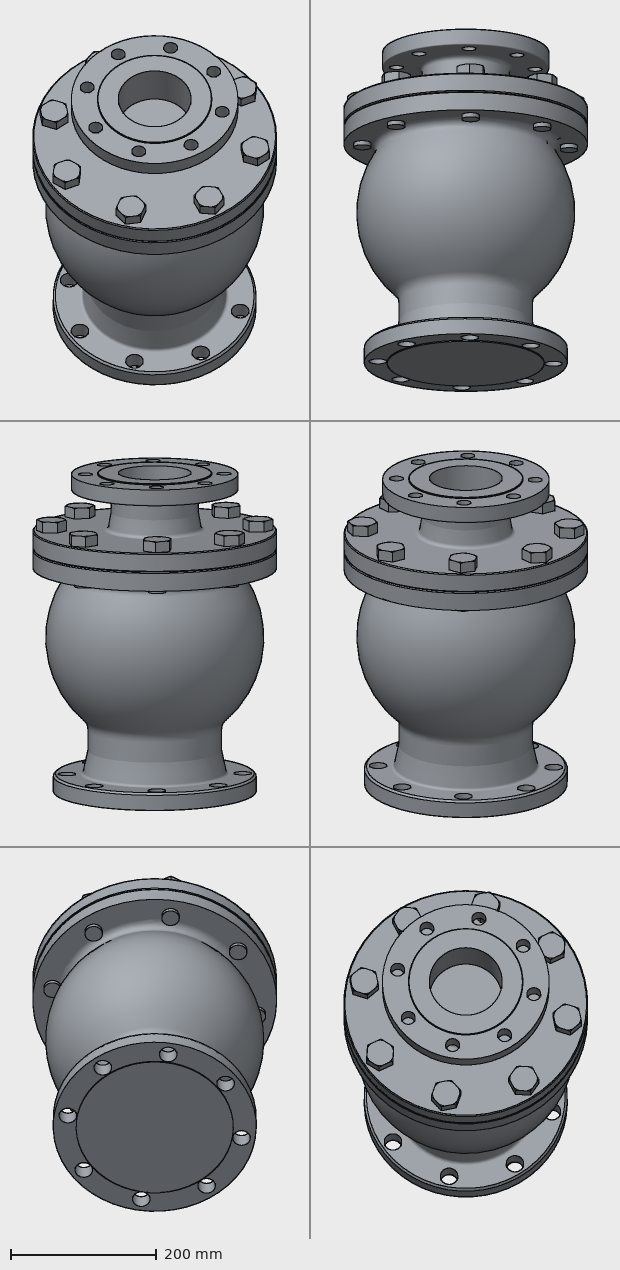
import cadquery as cq
import math

SPHERE_RADIUS = 150.0
WAIST_RADIUS = 184.0 / 2
WAIST_FILLET = 20.0
SHOULDER_FILLET = 10.0

LOWER_FLANGE_TOP = 26.0
WAIST_BOTTOM = 59.0
WAIST_TOP = 88.5
BODY_FLANGE_BOTTOM = 314.0
LID_SPLIT = 340.5
LID_TOP = 367.0
NECK_TAPER_TOP = 392.0
UPPER_FLANGE_BOTTOM = 423.0
OVERALL_HEIGHT = 447.0

LOWER_FLANGE_RADIUS = 279.0 / 2
LOWER_FACE_RADIUS = 215.9 / 2
FACE_STEP = 1.6
LOWER_FLANGE_CHAMFER = 3.0
LOWER_TAPER_RADIUS = 99.0
LOWER_TAPER_FILLET = 4.5
LOWER_HOLE_DIAMETER = 24.0
LOWER_HOLE_CIRCLE = 241.3

JOINT_RADIUS = 335.0 / 2
JOINT_CHAMFER = 1.5
BOLT_COUNT = 8
BOLT_CIRCLE = 284.0
BOLT_DIAMETER = 24.0
BOLT_END = 308.0
HEAD_ACROSS_FLATS = 36.0
HEAD_HEIGHT = 15.0
HEAD_CHAMFER = 2.0
HEAD_TURN = -7.5

NECK_RADIUS = 120.0 / 2
NECK_FOOT_RADIUS = 64.5
NECK_FILLET = 6.0
UPPER_FLANGE_RADIUS = 229.0 / 2
UPPER_FLANGE_FILLET = 1.5
UPPER_FACE_RADIUS = 157.2 / 2
UPPER_FACE_CHAMFER = 0.8
UPPER_HOLE_DIAMETER = 19.0
UPPER_HOLE_CIRCLE = 190.5
BORE_DIAMETER = 100.0
BORE_DEPTH = 60.0

HOLES_PER_FLANGE = 8
OVERLAP = 2.0


def revolve(profile):
    """Turn a closed (radius, height) profile around the Z axis."""
    return profile.close().revolve(360, (0, 0, 0), (0, 1, 0))


def disc(radius, bottom, top):
    return cq.Workplane("XY").workplane(offset=bottom).circle(radius).extrude(top - bottom)


def ring_points(circle_diameter, count):
    """Equally spaced points straddling the X and Y axes, as (x, y, angle in degrees)."""
    pitch = 360.0 / count
    points = []
    for i in range(count):
        angle = pitch * (i + 0.5)
        x = circle_diameter / 2 * math.cos(math.radians(angle))
        y = circle_diameter / 2 * math.sin(math.radians(angle))
        points.append((x, y, angle))
    return points


def flange_holes(circle_diameter, hole_diameter, bottom, top):
    points = [(x, y) for x, y, _ in ring_points(circle_diameter, HOLES_PER_FLANGE)]
    plane = cq.Workplane("XY").workplane(offset=bottom)
    return plane.pushPoints(points).circle(hole_diameter / 2).extrude(top - bottom)


def lower_flange():
    flange = disc(LOWER_FLANGE_RADIUS, FACE_STEP, LOWER_FLANGE_TOP)
    flange = flange.faces(">Z").edges().chamfer(LOWER_FLANGE_CHAMFER)
    flange = flange.union(disc(LOWER_FACE_RADIUS, 0, FACE_STEP + OVERLAP))
    holes = flange_holes(LOWER_HOLE_CIRCLE, LOWER_HOLE_DIAMETER, 0, LOWER_FLANGE_TOP)
    return flange.cut(holes)


def body():
    """Taper, waist, sphere and their blends, from the lower flange to the body flange."""
    waist_blend_r = WAIST_RADIUS + WAIST_FILLET
    waist_blend_reach = SPHERE_RADIUS + WAIST_FILLET
    sphere_z = WAIST_TOP + math.sqrt(waist_blend_reach**2 - waist_blend_r**2)
    shoulder_reach = SPHERE_RADIUS + SHOULDER_FILLET
    shoulder_z = BODY_FLANGE_BOTTOM - SHOULDER_FILLET
    shoulder_r = math.sqrt(shoulder_reach**2 - (shoulder_z - sphere_z) ** 2)

    def on_sphere(r, z):
        """The sphere point on the ray from the sphere centre towards (r, z)."""
        scale = SPHERE_RADIUS / math.hypot(r, z - sphere_z)
        return r * scale, sphere_z + (z - sphere_z) * scale

    def blend_middle(r, z, radius, end):
        """Point of the blend arc around (r, z) halfway between its sphere contact and `end`."""
        contact = on_sphere(r, z)
        dr = (contact[0] + end[0]) / 2 - r
        dz = (contact[1] + end[1]) / 2 - z
        scale = radius / math.hypot(dr, dz)
        return r + dr * scale, z + dz * scale

    waist_end = (WAIST_RADIUS, WAIST_TOP)
    shoulder_end = (shoulder_r, BODY_FLANGE_BOTTOM)
    profile = (
        cq.Workplane("XZ")
        .moveTo(0, LOWER_FLANGE_TOP - OVERLAP)
        .lineTo(LOWER_TAPER_RADIUS, LOWER_FLANGE_TOP - OVERLAP)
        .lineTo(LOWER_TAPER_RADIUS, LOWER_FLANGE_TOP)
        .lineTo(WAIST_RADIUS, WAIST_BOTTOM)
        .lineTo(*waist_end)
        .threePointArc(
            blend_middle(waist_blend_r, WAIST_TOP, WAIST_FILLET, waist_end),
            on_sphere(waist_blend_r, WAIST_TOP),
        )
        .threePointArc((SPHERE_RADIUS, sphere_z), on_sphere(shoulder_r, shoulder_z))
        .threePointArc(
            blend_middle(shoulder_r, shoulder_z, SHOULDER_FILLET, shoulder_end),
            shoulder_end,
        )
        .lineTo(shoulder_r, BODY_FLANGE_BOTTOM + OVERLAP)
        .lineTo(0, BODY_FLANGE_BOTTOM + OVERLAP)
    )
    return revolve(profile)


def joint_flanges():
    """Body flange and lid plate, with a V groove where their chamfered rims meet."""
    body_flange = disc(JOINT_RADIUS, BODY_FLANGE_BOTTOM, LID_SPLIT)
    body_flange = body_flange.faces(">Z").edges().chamfer(JOINT_CHAMFER)
    lid = disc(JOINT_RADIUS, LID_SPLIT, LID_TOP).edges().chamfer(JOINT_CHAMFER)
    return body_flange.union(lid)


def neck():
    profile = (
        cq.Workplane("XZ")
        .moveTo(0, LID_TOP - OVERLAP)
        .lineTo(NECK_FOOT_RADIUS, LID_TOP - OVERLAP)
        .lineTo(NECK_FOOT_RADIUS, LID_TOP)
        .lineTo(NECK_RADIUS, NECK_TAPER_TOP)
        .lineTo(NECK_RADIUS, UPPER_FLANGE_BOTTOM + OVERLAP)
        .lineTo(0, UPPER_FLANGE_BOTTOM + OVERLAP)
    )
    return revolve(profile)


def upper_flange():
    flange_top = OVERALL_HEIGHT - FACE_STEP
    flange = disc(UPPER_FLANGE_RADIUS, UPPER_FLANGE_BOTTOM, flange_top)
    flange = flange.faces("<Z").edges().fillet(UPPER_FLANGE_FILLET)
    face = disc(UPPER_FACE_RADIUS, flange_top - OVERLAP, OVERALL_HEIGHT)
    face = face.faces(">Z").edges().chamfer(UPPER_FACE_CHAMFER)
    holes = flange_holes(UPPER_HOLE_CIRCLE, UPPER_HOLE_DIAMETER, UPPER_FLANGE_BOTTOM, flange_top)
    return flange.union(face).cut(holes)


def bolt():
    """Hex bolt on the Z axis, with two head corners on the X axis."""
    corner_diameter = HEAD_ACROSS_FLATS / math.cos(math.pi / 6)
    head_top = LID_TOP + HEAD_HEIGHT
    head_bottom = LID_TOP - OVERLAP
    head = (
        cq.Workplane("XY")
        .workplane(offset=head_bottom)
        .polygon(6, corner_diameter)
        .extrude(head_top - head_bottom)
    )
    trim = disc(corner_diameter / 2, head_bottom, head_top)
    trim = trim.faces(">Z").edges().chamfer(HEAD_CHAMFER / 2, HEAD_CHAMFER)
    shank = disc(BOLT_DIAMETER / 2, BOLT_END, LID_TOP)
    return head.intersect(trim).union(shank)


def ring_edge(solid, radius, height):
    """Select the full circular edge of the given radius and height."""
    tolerance = 0.05
    box = cq.selectors.BoxSelector(
        (-radius - tolerance, -radius - tolerance, height - tolerance),
        (radius + tolerance, radius + tolerance, height + tolerance),
        boundingbox=True,
    )
    return solid.edges(box)


result = lower_flange().union(body()).union(joint_flanges()).union(neck()).union(upper_flange())
result = ring_edge(result, LOWER_TAPER_RADIUS, LOWER_FLANGE_TOP).fillet(LOWER_TAPER_FILLET)
result = ring_edge(result, NECK_FOOT_RADIUS, LID_TOP).fillet(NECK_FILLET)
result = ring_edge(result, NECK_RADIUS, UPPER_FLANGE_BOTTOM).fillet(NECK_FILLET)
for bolt_x, bolt_y, bolt_angle in ring_points(BOLT_CIRCLE, BOLT_COUNT):
    turned = bolt().rotate((0, 0, 0), (0, 0, 1), bolt_angle + HEAD_TURN)
    result = result.union(turned.translate((bolt_x, bolt_y, 0)))
result = result.cut(disc(BORE_DIAMETER / 2, OVERALL_HEIGHT - BORE_DEPTH, OVERALL_HEIGHT))